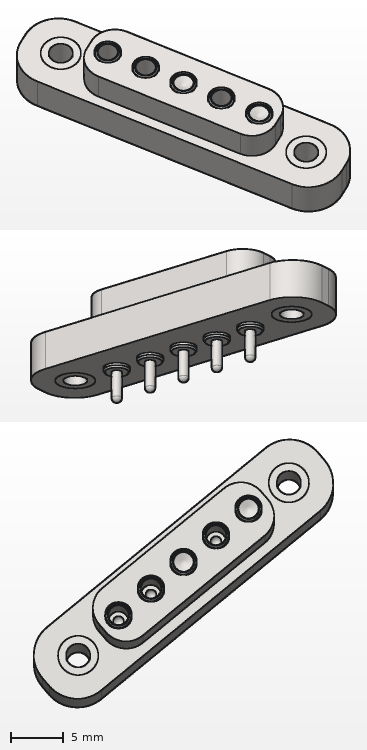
import cadquery as cq

flange_length = 34.0
flange_width = 8.0
flange_height = 3.8
flange_corner_radius = 3.5
boss_length = 20.0
boss_width = 6.0
boss_height = 3.13
boss_corner_radius = 2.48
housing_top = flange_height + boss_height

bushing_spacing = 26.0
bushing_diameter = 3.8
bushing_bore = 2.28

contact_count = 5
contact_pitch = 4.0
contact_diameter = 2.55
contact_overhang = 0.45
foot_chamfer_width = 0.15
foot_chamfer_height = 0.2

rim_base_diameter = 2.38
rim_top_diameter = 2.05
rim_height = 0.27
shoulder_height = 0.05

tail_diameter = 1.02
tail_length = 3.57

mouth_diameter = 1.9
socket_indices = (0, 1, 3)
socket_depth = 2.72
dimple_diameter = 1.02
cone_rim_depth = 0.07
cone_depth = 0.45

contact_radius = contact_diameter / 2
tail_radius = tail_diameter / 2
mouth_radius = mouth_diameter / 2
dimple_radius = dimple_diameter / 2

bushing_places = [(-bushing_spacing / 2, 0), (bushing_spacing / 2, 0)]
first_contact_x = -(contact_count - 1) * contact_pitch / 2
contact_places = [(first_contact_x + i * contact_pitch, 0) for i in range(contact_count)]


def rounded_block(length, width, height, corner_radius):
    """Block standing on Z = 0 with rounded vertical edges."""
    return cq.Workplane("XY").rect(length, width).extrude(height).edges("|Z").fillet(corner_radius)


def cylinders(places, diameter, height):
    """Equal upright cylinders standing on Z = 0."""
    return cq.Workplane("XY").pushPoints(places).circle(diameter / 2).extrude(height)


def make_housing():
    """Flange and boss, bored through for the bushings and contacts."""
    flange = rounded_block(flange_length, flange_width, flange_height, flange_corner_radius)
    boss = rounded_block(boss_length, boss_width, housing_top, boss_corner_radius)
    body = flange.union(boss)
    body = body.cut(cylinders(bushing_places, bushing_diameter, flange_height))
    return body.cut(cylinders(contact_places, contact_diameter, housing_top))


def make_bushing(place):
    """Plain sleeve as tall as the flange."""
    sleeve = cq.Workplane("XY").circle(bushing_diameter / 2).circle(bushing_bore / 2).extrude(flange_height)
    return sleeve.translate((*place, 0))


def revolve_profile(profile):
    """Close a half profile on the Z axis and turn it into a solid."""
    return profile.close().revolve(360, (0, 0, 0), (0, 1, 0))


def make_contact_blank():
    """Contact barrel with its tail, before its top is opened."""
    foot_z = -contact_overhang
    rim_base_z = housing_top - rim_height
    profile = (
        cq.Workplane("XZ")
        .moveTo(0, -tail_length)
        .radiusArc((tail_radius, -tail_length + tail_radius), -tail_radius)
        .lineTo(tail_radius, foot_z)
        .lineTo(contact_radius - foot_chamfer_width, foot_z)
        .lineTo(contact_radius, foot_z + foot_chamfer_height)
        .lineTo(contact_radius, rim_base_z - shoulder_height)
        .lineTo(rim_base_diameter / 2, rim_base_z)
        .lineTo(rim_top_diameter / 2, housing_top)
        .lineTo(0, housing_top)
    )
    return revolve_profile(profile)


def make_socket_opening():
    """Deep round socket with a hemispherical dimple in its floor."""
    floor_z = housing_top - socket_depth
    profile = (
        cq.Workplane("XZ")
        .moveTo(0, housing_top)
        .lineTo(mouth_radius, housing_top)
        .lineTo(mouth_radius, floor_z)
        .lineTo(dimple_radius, floor_z)
        .radiusArc((0, floor_z - dimple_radius), dimple_radius)
    )
    return revolve_profile(profile)


def make_cone_opening():
    """Shallow conical recess below a short straight rim."""
    cone_top_z = housing_top - cone_rim_depth
    profile = (
        cq.Workplane("XZ")
        .moveTo(0, housing_top)
        .lineTo(mouth_radius, housing_top)
        .lineTo(mouth_radius, cone_top_z)
        .lineTo(0, cone_top_z - cone_depth)
    )
    return revolve_profile(profile)


def make_contact(index):
    """Contact with the kind of opening that belongs to its place in the row."""
    opening = make_socket_opening() if index in socket_indices else make_cone_opening()
    return make_contact_blank().cut(opening).translate((*contact_places[index], 0))


housing = make_housing()
bushings = [make_bushing(place) for place in bushing_places]
contacts = [make_contact(index) for index in range(contact_count)]

result = cq.Compound.makeCompound([
    housing.val(),
    *[bushing.val() for bushing in bushings],
    *[contact.val() for contact in contacts],
])